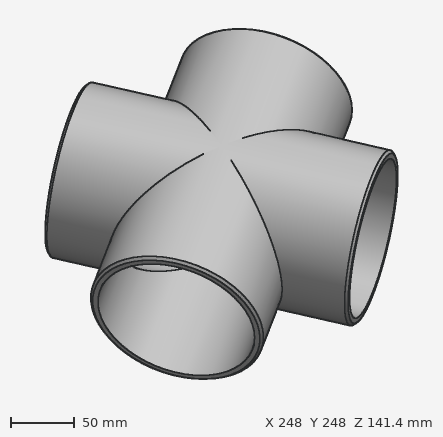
import cadquery as cq

length = 248.0
outer_diameter = 141.4
inner_diameter = 128.2
bevel_length = 2.2
bevel_depth = 2.2


def bevelled_cylinder(plane):
    """Solid run centred on the origin, bevelled around both outer ends."""
    half_length = length / 2
    radius = outer_diameter / 2
    shoulder = half_length - bevel_length
    profile = [
        (0, -half_length),
        (radius - bevel_depth, -half_length),
        (radius, -shoulder),
        (radius, shoulder),
        (radius - bevel_depth, half_length),
        (0, half_length),
    ]
    return cq.Workplane(plane).polyline(profile).close().revolve(360, (0, 0), (0, 1))


def bore(plane):
    """Straight through bore along the normal of the given plane."""
    return cq.Workplane(plane).circle(inner_diameter / 2).extrude(length / 2, both=True)


run_along_x = bevelled_cylinder("YX")
run_along_y = bevelled_cylinder("XY")
outer_body = run_along_x.union(run_along_y)

result = outer_body.cut(bore("YZ")).cut(bore("XZ"))